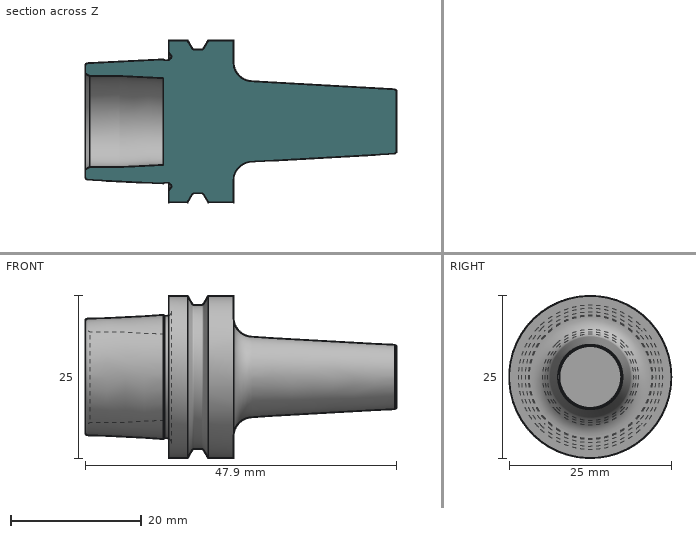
import cadquery as cq
import math

length = 47.9

shank_face_radius = 8.57
shank_start_radius = 9.0
nose_round = 0.45
shank_end = 11.98
shank_end_radius = 9.6

neck_start = 12.2
neck_radius = 9.45
relief_round_start = 12.55
relief_depth = 0.45
relief_floor_radius = 10.05
relief_outer_radius = 10.65

flange_start = 12.85
flange_end = 22.85
flange_radius = 12.5
groove_start = 15.75
groove_end = 18.9
groove_radius = 11.1
groove_wall_angle = 60
groove_depth = flange_radius - groove_radius
groove_wall_run = groove_depth / math.tan(math.radians(groove_wall_angle))
groove_round = 0.3

blend_radius = 2.87
nose_start = 25.67
nose_start_radius = 6.25
tip_radius = 5.0
tip_chamfer = 0.25

bore_mouth_radius = 7.4
bore_radius = 7.0
bore_floor_radius = 6.65
bore_chamfer = 0.65
bore_straight_end = 5.25
bore_depth = 11.98


def point_on_arc(center, radius, degrees):
    """Point on a circle, with angles measured from +X toward increasing radius."""
    angle = math.radians(degrees)
    return (center[0] + radius * math.cos(angle), center[1] + radius * math.sin(angle))


round_tangent = groove_round * math.tan(math.radians(groove_wall_angle / 2))
round_center_radius = groove_radius + groove_round
left_round_center = (groove_start + groove_wall_run + round_tangent, round_center_radius)
right_round_center = (groove_end - groove_wall_run - round_tangent, round_center_radius)
left_round = [
    point_on_arc(left_round_center, groove_round, 270 - swing)
    for swing in (groove_wall_angle, groove_wall_angle / 2, 0)
]
right_round = [
    point_on_arc(right_round_center, groove_round, 270 + swing)
    for swing in (0, groove_wall_angle / 2, groove_wall_angle)
]

nose_length = length - tip_chamfer - nose_start
nose_slope = math.degrees(math.atan((nose_start_radius - tip_radius) / nose_length))
blend_end_angle = 270 - nose_slope
blend_center_x = flange_end + blend_radius
blend_center_radius = nose_start_radius + blend_radius * math.cos(math.radians(nose_slope))
blend_center = (blend_center_x, blend_center_radius)
blend_middle = point_on_arc(blend_center, blend_radius, (180 + blend_end_angle) / 2)
blend_end = point_on_arc(blend_center, blend_radius, blend_end_angle)

profile = (
    cq.Workplane("XY")
    .moveTo(bore_depth, 0)
    .lineTo(bore_depth, bore_floor_radius)
    .lineTo(bore_straight_end, bore_radius)
    .lineTo(bore_chamfer, bore_radius)
    .lineTo(0, bore_mouth_radius)
    .lineTo(0, shank_face_radius)
    .radiusArc((nose_round, shank_start_radius), nose_round)
    .lineTo(shank_end, shank_end_radius)
    .lineTo(neck_start, neck_radius)
    .lineTo(relief_round_start, neck_radius)
    .tangentArcPoint((flange_start + relief_depth, relief_floor_radius), relative=False)
    .lineTo(flange_start, relief_outer_radius)
    .lineTo(flange_start, flange_radius)
    .lineTo(groove_start, flange_radius)
    .lineTo(*left_round[0])
    .threePointArc(*left_round[1:])
    .lineTo(*right_round[0])
    .threePointArc(*right_round[1:])
    .lineTo(groove_end, flange_radius)
    .lineTo(flange_end, flange_radius)
    .lineTo(flange_end, blend_center_radius)
    .threePointArc(blend_middle, blend_end)
    .lineTo(length - tip_chamfer, tip_radius)
    .lineTo(length, tip_radius - tip_chamfer)
    .lineTo(length, 0)
    .close()
)

result = profile.revolve(360, (0, 0, 0), (1, 0, 0))